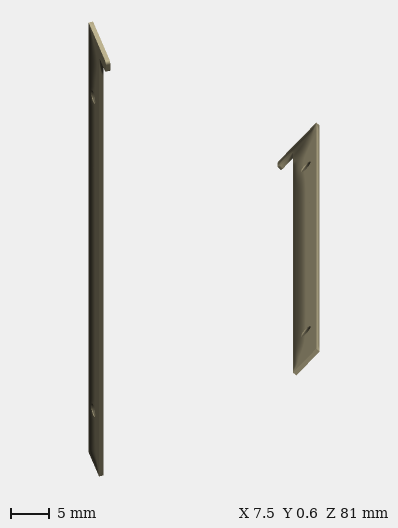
import cadquery as cq

length = 81.0
thickness = 0.6
strip_width = 4.5

arm_reach = 7.5
arm_height = 2.0
arm_corner_radius = 0.5

hole_diameter = 1.8
hole_x = 2.0
lower_hole_z = 10.0
upper_hole_drop = 12.0
upper_hole_z = length - upper_hole_drop


def hooked_strip():
    """Flat strip with a short arm at its top, lower left corner at the origin."""
    arm_underside = length - arm_height
    outline = (
        cq.Workplane("XZ")
        .moveTo(0, 0)
        .lineTo(strip_width, 0)
        .lineTo(strip_width, arm_underside)
        .lineTo(arm_reach, arm_underside)
        .lineTo(arm_reach, length)
        .lineTo(0, length)
        .close()
    )
    return outline.extrude(thickness)


def round_arm_end(body):
    """Round the two corners at the free end of the arm."""
    return body.faces(">X").edges("|Y").fillet(arm_corner_radius)


def drill_holes(body):
    """Drill both holes through the sheet."""
    hole_centres = [(hole_x, z) for z in (lower_hole_z, upper_hole_z)]
    drills = (
        cq.Workplane("XZ")
        .pushPoints(hole_centres)
        .circle(hole_diameter / 2)
        .extrude(thickness)
    )
    return body.cut(drills)


result = drill_holes(round_arm_end(hooked_strip()))